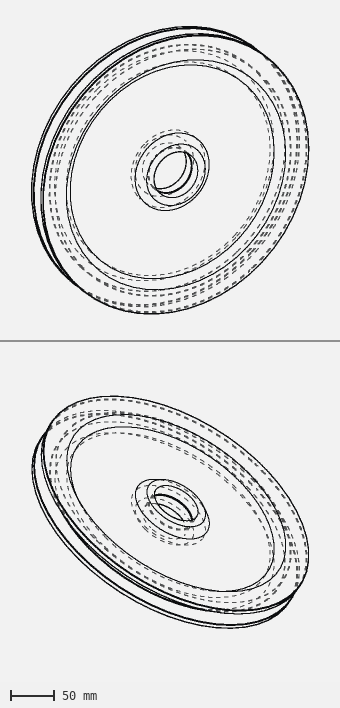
import cadquery as cq

outer_diameter = 340.0
width = 30.0

groove_floor_diameter = 300.0
groove_floor_width = 15.5
groove_mouth_width = 17.7

recess_outer_diameter = 280.0
hub_face_diameter = 74.8
recess_depth = 10.0
recess_wall_run = 10.0

bore_diameter = 55.8
rib_diameter = 54.7
rib_width = 1.5

rim_chamfer = 0.7
groove_root_radius = 0.7


def ring(points):
    """Revolve an (axial position, radius) outline about the X axis."""
    return cq.Workplane("XY").polyline(points).close().revolve(360, (0, 0, 0), (1, 0, 0))


def face_recess(side):
    """Annular recess in the face on the given side (-1 or +1) of the wheel."""
    face = side * width / 2
    floor = face - side * recess_depth
    hub_radius = hub_face_diameter / 2
    rim_radius = recess_outer_diameter / 2
    return ring([
        (face, hub_radius),
        (floor, hub_radius + recess_wall_run),
        (floor, rim_radius - recess_wall_run),
        (face, rim_radius),
    ])


def centred_disc(diameter, length):
    """Cylinder about the X axis, centred on the middle plane of the wheel."""
    return cq.Workplane("YZ").circle(diameter / 2).extrude(length / 2, both=True)


groove = ring([
    (-groove_mouth_width / 2, outer_diameter / 2),
    (-groove_floor_width / 2, groove_floor_diameter / 2),
    (groove_floor_width / 2, groove_floor_diameter / 2),
    (groove_mouth_width / 2, outer_diameter / 2),
])

root_edges = cq.selectors.RadiusNthSelector(0)
groove = groove.edges(root_edges).fillet(groove_root_radius)

result = centred_disc(outer_diameter, width).cut(groove)

result = result.edges(cq.selectors.RadiusNthSelector(-1)).chamfer(rim_chamfer)

for side in (-1, 1):
    result = result.cut(face_recess(side))

rib = centred_disc(bore_diameter, rib_width).cut(centred_disc(rib_diameter, rib_width))
bore = centred_disc(bore_diameter, width).cut(rib)
result = result.cut(bore)